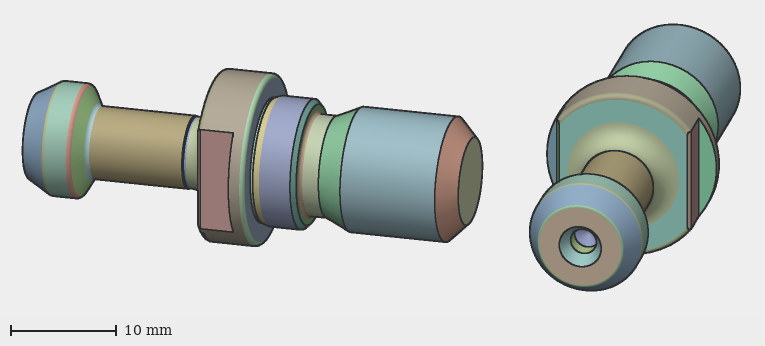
import cadquery as cq
import math

length = 43.0

head_radius = 5.5
head_nose_radius = 4.13
head_cone_end = 2.4
head_rear_start = 5.0
head_rear_end = 6.15
nose_round = 0.25
head_edge_round = 0.5
neck_inner_round = 0.47

neck_radius = 7.0 / 2
relief_radius = 3.45
relief_start = 15.55
relief_taper_length = 0.15
flange_root_round = 4.0 / 2

flange_start = 17.95
flange_end = 23.0
flange_radius = 8.25
flange_front_round = 0.5
flange_rear_round = 0.45
flat_half_width = 6.55
flat_end = 21.5
flat_edge_chamfer = 0.3
cutter_clearance = 0.45

collar_radius = 12.5 / 2
collar_groove_radius = 12.0 / 2
collar_groove_end = 23.25
collar_ramp_start_radius = 12.1 / 2
collar_full_start = 23.95
collar_chamfer_start = 27.0
collar_end = 27.48
collar_chamfer = collar_end - collar_chamfer_start

undercut_radius = 9.75 / 2
undercut_round = 0.35
undercut_end = 29.4
shank_radius = 12.0 / 2
shank_start = 31.85
shank_chamfer = 1.8

match_tolerance = 4.3e-05

hole_radius = 1.25
hole_depth = 3.0
hole_tip_angle = 120.0
countersink_radius = 4.1 / 2
countersink_angle = 60.0


def make_turned_body():
    """Revolve the outer profile about the X axis."""
    root_centre_x = flange_start - flange_root_round
    root_centre_r = relief_radius + flange_root_round
    root_mid = flange_root_round * math.sqrt(0.5)
    profile = (
        cq.Workplane("XY")
        .lineTo(0, head_nose_radius)
        .lineTo(head_cone_end, head_radius)
        .lineTo(head_rear_start, head_radius)
        .lineTo(head_rear_end, neck_radius)
        .lineTo(relief_start, neck_radius)
        .lineTo(relief_start + relief_taper_length, relief_radius)
        .lineTo(root_centre_x, relief_radius)
        .threePointArc(
            (root_centre_x + root_mid, root_centre_r - root_mid),
            (flange_start, root_centre_r),
        )
        .lineTo(flange_start, flange_radius)
        .lineTo(flange_end, flange_radius)
        .lineTo(flange_end, collar_groove_radius)
        .lineTo(collar_groove_end, collar_groove_radius)
        .lineTo(collar_groove_end, collar_ramp_start_radius)
        .lineTo(collar_full_start, collar_radius)
        .lineTo(collar_chamfer_start, collar_radius)
        .lineTo(collar_end, collar_radius - collar_chamfer)
        .lineTo(collar_end, undercut_radius)
        .lineTo(undercut_end, undercut_radius)
        .lineTo(shank_start, shank_radius)
        .lineTo(length - shank_chamfer, shank_radius)
        .lineTo(length, shank_radius - shank_chamfer)
        .lineTo(length, 0)
        .close()
    )
    return profile.revolve(360, (0, 0, 0), (1, 0, 0))


def round_edge(body, x, radius, size):
    """Round the circular edge of the given radius at station x."""
    circles = [
        edge for edge in body.edges("%CIRCLE").vals()
        if math.isclose(edge.arcCenter().x, x, abs_tol=match_tolerance)
        and math.isclose(edge.radius(), radius, abs_tol=match_tolerance)
    ]
    return body.newObject(circles).fillet(size)


def make_flat_cutter(side):
    """Block beyond one wrench flat, widened to bevel the flat's front edge."""
    inner = side * flat_half_width
    outer = side * (flange_radius + cutter_clearance)
    return (
        cq.Workplane("XY")
        .moveTo(flange_start, inner - side * flat_edge_chamfer)
        .lineTo(flange_start + flat_edge_chamfer, inner)
        .lineTo(flat_end, inner)
        .lineTo(flat_end, outer)
        .lineTo(flange_start, outer)
        .close()
        .extrude(flange_radius, both=True)
    )


def make_centre_hole():
    """Countersunk blind hole with a conical drill tip."""
    countersink_depth = (countersink_radius - hole_radius) / math.tan(math.radians(countersink_angle / 2))
    tip_length = hole_radius / math.tan(math.radians(hole_tip_angle / 2))
    return (
        cq.Workplane("XY")
        .lineTo(0, countersink_radius)
        .lineTo(countersink_depth, hole_radius)
        .lineTo(hole_depth, hole_radius)
        .lineTo(hole_depth + tip_length, 0)
        .close()
        .revolve(360, (0, 0, 0), (1, 0, 0))
    )


rounded_edges = [
    (0, head_nose_radius, nose_round),
    (head_cone_end, head_radius, head_edge_round),
    (head_rear_start, head_radius, head_edge_round),
    (head_rear_end, neck_radius, neck_inner_round),
    (flange_start, flange_radius, flange_front_round),
    (flange_end, flange_radius, flange_rear_round),
    (collar_end, undercut_radius, undercut_round),
]

result = make_turned_body()
for station, edge_radius, round_size in rounded_edges:
    result = round_edge(result, station, edge_radius, round_size)
for flat_side in (1, -1):
    result = result.cut(make_flat_cutter(flat_side))
result = result.cut(make_centre_hole())